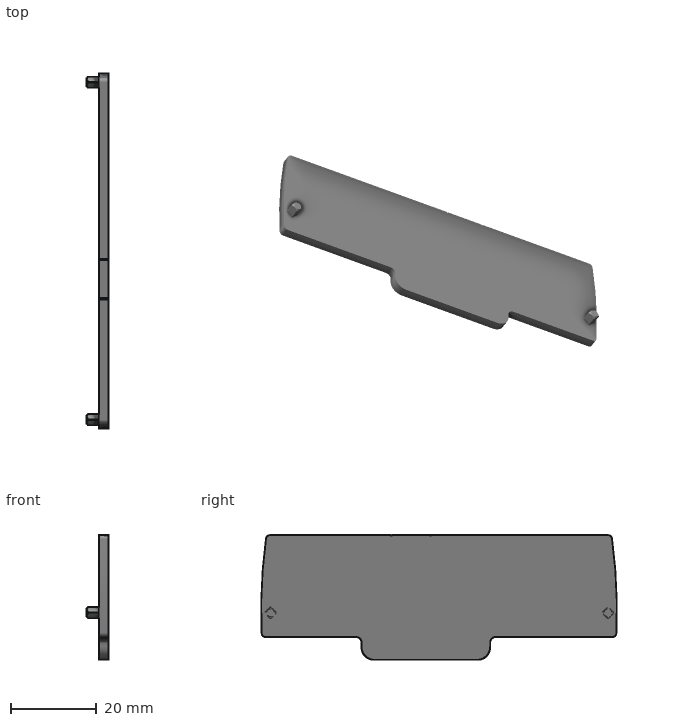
import cadquery as cq
import math

length = 82.8
thickness = 2.2
plate_top = 23.8
corner_radius = 1.0

bow_radius = 124.3
bow_height = 6.2

tab_depth = 5.3
tab_half_width = 15.0
tab_center_y = -3.1
tab_corner_radius = 3.0
tab_root_radius = 1.25

post_length = 2.9
post_radius = 1.3
post_flat_distance = 1.0
post_chamfer = 0.4
post_offset_y = 39.3
post_height = 5.7

groove_width = 0.4
groove_depth = 0.2
groove_positions = (-2.0, -11.1)


def end_y(z):
    """Half length of the plate at height z on the bowed end."""
    sagitta = bow_radius - math.sqrt(bow_radius**2 - (z - bow_height) ** 2)
    return length / 2 - sagitta


def make_body():
    body = (
        cq.Workplane("YZ")
        .moveTo(-end_y(0), 0)
        .lineTo(end_y(0), 0)
        .threePointArc((length / 2, bow_height), (end_y(plate_top), plate_top))
        .lineTo(-end_y(plate_top), plate_top)
        .threePointArc((-length / 2, bow_height), (-end_y(0), 0))
        .close()
        .extrude(thickness)
        .edges("|X")
        .fillet(corner_radius)
    )
    tab_height = tab_depth + plate_top / 2
    tab = (
        cq.Workplane("YZ")
        .center(tab_center_y, tab_height / 2 - tab_depth)
        .rect(2 * tab_half_width, tab_height)
        .extrude(thickness)
        .edges("|X and <Z")
        .fillet(tab_corner_radius)
    )
    body = body.union(tab)
    for side in (-1, 1):
        root_point = (thickness / 2, tab_center_y + side * tab_half_width, 0)
        root_edge = cq.selectors.NearestToPointSelector(root_point)
        body = body.edges("|X").edges(root_edge).fillet(tab_root_radius)
    return body


def make_post(y):
    pin = (
        cq.Workplane("YZ")
        .center(y, post_height)
        .circle(post_radius)
        .extrude(-post_length)
        .faces("<X")
        .chamfer(post_chamfer)
    )
    diamond = (
        cq.Workplane("YZ")
        .center(y, post_height)
        .transformed(rotate=(0, 0, 45))
        .rect(2 * post_flat_distance, 2 * post_flat_distance)
        .extrude(-post_length)
    )
    return pin.intersect(diamond)


def make_groove(y):
    return (
        cq.Workplane("YZ")
        .moveTo(y - groove_width / 2, plate_top)
        .lineTo(y, plate_top - groove_depth)
        .lineTo(y + groove_width / 2, plate_top)
        .close()
        .extrude(thickness)
    )


result = make_body()
for side in (-1, 1):
    result = result.union(make_post(side * post_offset_y))
for groove_y in groove_positions:
    result = result.cut(make_groove(groove_y))